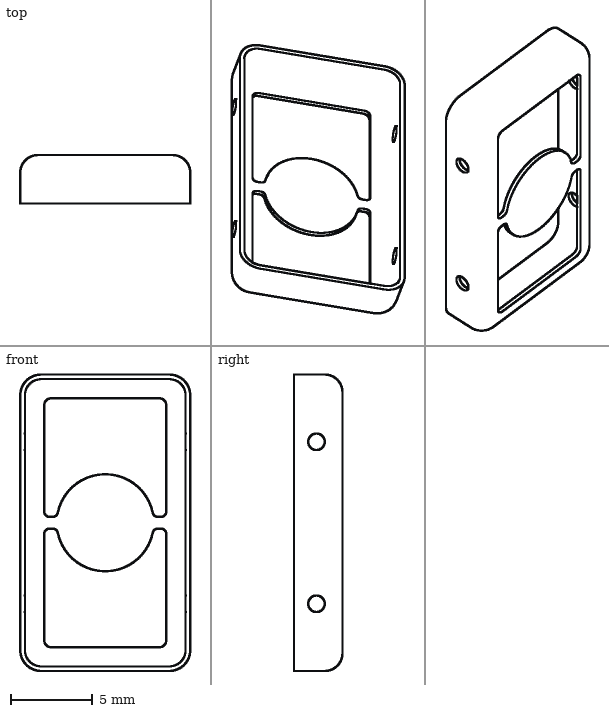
import cadquery as cq

width = 10.5
depth = 3.0
height = 18.3
wall = 0.3
corner_radius = 1.3
rim_radius = 1.1

window_width = 7.5
window_height = 15.34
window_corner = 0.4
disk_radius = 3.0
bar_height = 0.75
bar_fillet = 0.3

hole_diameter = 1.0
hole_spacing = 10.0
hole_from_front = 1.39

front_y = -depth / 2
back_y = depth / 2
floor_y = back_y - wall


def rounded_block(size_x, size_z, start_y, end_y, corner, back_fillet):
    """Block along Y with rounded corners and a rounded back edge."""
    block = (
        cq.Workplane("XZ", origin=(0, start_y, 0))
        .rect(size_x, size_z)
        .extrude(start_y - end_y)
    )
    return block.edges("|Y").fillet(corner).faces(">Y").edges().fillet(back_fillet)


def make_shell():
    outer = rounded_block(width, height, front_y, back_y, corner_radius, rim_radius)
    cavity = rounded_block(
        width - 2 * wall,
        height - 2 * wall,
        front_y,
        floor_y,
        corner_radius - wall,
        rim_radius - wall,
    )
    return outer.cut(cavity)


def make_window():
    """Window opening with the disk and its crossbar left standing."""
    floor_plane = cq.Workplane("XZ", origin=(0, back_y, 0))
    opening = floor_plane.rect(window_width, window_height).extrude(wall)
    opening = opening.edges("|Y").fillet(window_corner)
    bar = floor_plane.rect(window_width, bar_height).extrude(wall)
    disk = floor_plane.circle(disk_radius).extrude(wall)
    opening = opening.cut(bar).cut(disk)
    bar_edges = cq.selectors.BoxSelector(
        (-width, -depth, -bar_height), (width, depth, bar_height)
    )
    return opening.edges("|Y").edges(bar_edges).fillet(bar_fillet)


def make_pin_holes():
    return (
        cq.Workplane("YZ", origin=(-width / 2, front_y + hole_from_front, 0))
        .pushPoints([(0, -hole_spacing / 2), (0, hole_spacing / 2)])
        .circle(hole_diameter / 2)
        .extrude(width)
    )


result = make_shell().cut(make_window()).cut(make_pin_holes())